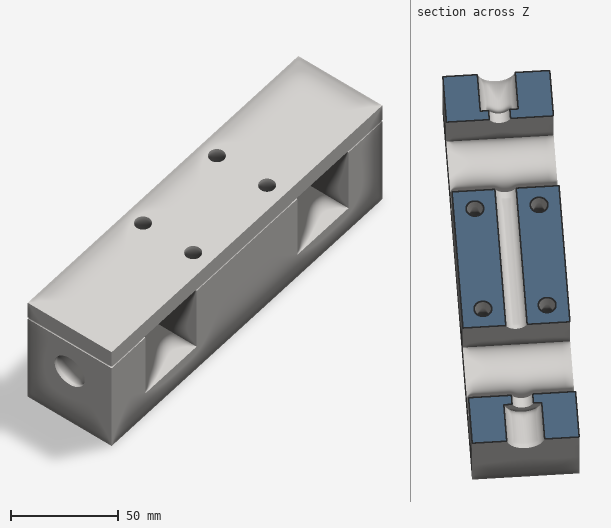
import cadquery as cq

length = 201.0
width = 50.1
turn_angle = -60.5

block_height = 53.0
gap = 1.0
plate_thickness = 10.0
plate_bottom = block_height + gap

end_wall = 25.2
pocket_length = 38.0
pocket_floor = 15.0
pocket_offset = length / 2 - end_wall - pocket_length / 2

bore_diameter = 10.5
counterbore_diameter = 18.0
counterbore_depth = 20.0
bore_height = 34.1

plate_hole_diameter = 8.4
block_hole_diameter = 8.0
bolt_spacing_long = 54.9
bolt_spacing_wide = 30.0


def box_from(bottom, height, box_length):
    """Centred full-width box with its underside at the given height."""
    return (
        cq.Workplane("XY")
        .workplane(offset=bottom)
        .rect(box_length, width)
        .extrude(height)
    )


def bolt_hole_cutters(diameter):
    return (
        cq.Workplane("XY")
        .rect(bolt_spacing_long, bolt_spacing_wide, forConstruction=True)
        .vertices()
        .circle(diameter / 2)
        .extrude(plate_bottom + plate_thickness)
    )


def lengthwise_cylinder(start, diameter, depth):
    """Cylinder along X at the bore height, beginning at the given X."""
    return (
        cq.Workplane("YZ")
        .workplane(offset=start)
        .center(0, bore_height)
        .circle(diameter / 2)
        .extrude(depth)
    )


def turn(body):
    return body.rotate((0, 0, 0), (0, 0, 1), turn_angle)


def make_block():
    block = box_from(0, block_height, length)
    for side in (-1, 1):
        pocket = box_from(pocket_floor, block_height - pocket_floor, pocket_length)
        block = block.cut(pocket.translate((side * pocket_offset, 0, 0)))
    block = block.cut(lengthwise_cylinder(-length / 2, bore_diameter, length))
    for start in (-length / 2, length / 2 - counterbore_depth):
        block = block.cut(lengthwise_cylinder(start, counterbore_diameter, counterbore_depth))
    return turn(block.cut(bolt_hole_cutters(block_hole_diameter)))


def make_plate():
    plate = box_from(plate_bottom, plate_thickness, length)
    return turn(plate.cut(bolt_hole_cutters(plate_hole_diameter)))


block = make_block()
plate = make_plate()

result = cq.Compound.makeCompound([block.val(), plate.val()])